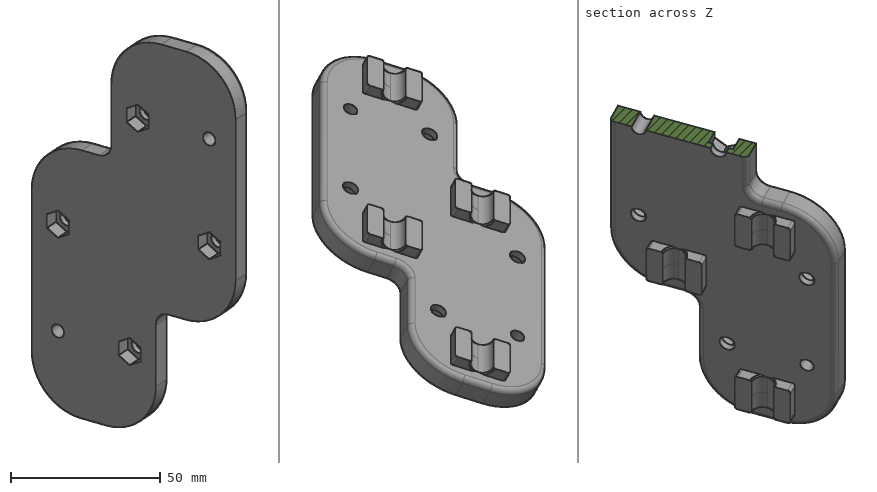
import cadquery as cq

LOBE_WIDTH = 50.0
LOBE_HEIGHT = 100.0
LOBE_OFFSET_X = 32.0
LOBE_OFFSET_Z = 48.0
LOBE_CORNER_RADIUS = 20.0
INNER_CORNER_RADIUS = 5.0
PLATE_THICKNESS = 8.0
BACK_EDGE_RADIUS = 2.0

HOLE_SPACING_X = 28.8
HOLE_SPACING_Z = 39.8
NUT_HOLE_DIAMETER = 5.5
PLAIN_HOLE_DIAMETER = 4.9
NUT_ACROSS_CORNERS = 10.15
NUT_SIDES = 6
NUT_POCKET_DEPTH = 5.5

PAD_WIDTH = 20.0
PAD_LENGTH = 15.0
PAD_HEIGHT = 4.0
PAD_CORNER_RADIUS = 1.0
PAD_END_MARGIN = 5.0
GROOVE_RADIUS = PAD_HEIGHT
GROOVE_END_CHAMFER = 0.5

PAD_CENTRE_Z = LOBE_HEIGHT / 2 - PAD_END_MARGIN - PAD_LENGTH / 2
PAD_TOP_Y = PLATE_THICKNESS + PAD_HEIGHT
LOWER_LOBE = (-LOBE_OFFSET_X / 2, -LOBE_OFFSET_Z / 2)
UPPER_LOBE = (LOBE_OFFSET_X / 2, LOBE_OFFSET_Z / 2)


def plane_at(y):
    """XZ sketch plane at the given y whose extrusions grow toward +Y.

    Its local coordinates are (-X, Z).
    """
    return cq.Workplane(cq.Plane(origin=(0, y, 0), xDir=(-1, 0, 0), normal=(0, 1, 0)))


def local(points):
    """Convert (x, z) part positions to the sketch plane's coordinates."""
    return [(-x, z) for x, z in points]


def lobe_holes(lobe, sides):
    """Positions on a lobe's hole pattern, each side given as (x sign, z sign)."""
    lobe_x, lobe_z = lobe
    return [
        (lobe_x + side_x * HOLE_SPACING_X / 2, lobe_z + side_z * HOLE_SPACING_Z / 2)
        for side_x, side_z in sides
    ]


def make_lobe(lobe):
    block = plane_at(0).pushPoints(local([lobe])).rect(LOBE_WIDTH, LOBE_HEIGHT).extrude(PLATE_THICKNESS)
    return block.edges("|Y").fillet(LOBE_CORNER_RADIUS)


def inner_corner_edges(plate):
    """The two concave edges where the outlines of the lobes cross."""
    corner_x = (LOBE_WIDTH - LOBE_OFFSET_X) / 2
    corner_z = (LOBE_HEIGHT - LOBE_OFFSET_Z) / 2
    mid_y = PLATE_THICKNESS / 2
    upper_left = cq.selectors.NearestToPointSelector((-corner_x, mid_y, corner_z))
    lower_right = cq.selectors.NearestToPointSelector((corner_x, mid_y, -corner_z))
    return plate.edges("|Y").edges(upper_left + lower_right)


def make_plate():
    plate = make_lobe(LOWER_LOBE).union(make_lobe(UPPER_LOBE)).clean()
    plate = inner_corner_edges(plate).fillet(INNER_CORNER_RADIUS)
    return plate.faces(">Y").edges().fillet(BACK_EDGE_RADIUS)


def make_groove_end_cone(x, z, side):
    """Cone that widens the groove toward the pad end on the given Z side."""
    cone = cq.Solid.makeCone(
        GROOVE_RADIUS + GROOVE_END_CHAMFER,
        GROOVE_RADIUS,
        GROOVE_END_CHAMFER,
        pnt=cq.Vector(x, PAD_TOP_Y, z + side * PAD_LENGTH / 2),
        dir=cq.Vector(0, 0, -side),
    )
    return cq.Workplane(cone)


def make_pad(x, z):
    """Rounded block with a half-round groove along Z, widened by a chamfer at both ends."""
    block = plane_at(PLATE_THICKNESS).center(-x, z).rect(PAD_WIDTH, PAD_LENGTH).extrude(PAD_HEIGHT)
    block = block.edges("|Y").fillet(PAD_CORNER_RADIUS)
    groove = (
        cq.Workplane("XY", origin=(x, PAD_TOP_Y, z))
        .circle(GROOVE_RADIUS)
        .extrude(PAD_LENGTH / 2, both=True)
    )
    block = block.cut(groove)
    for side in (-1, 1):
        block = block.cut(make_groove_end_cone(x, z, side))
    return block


def add_pads(plate):
    for lobe_x, lobe_z in (LOWER_LOBE, UPPER_LOBE):
        for side in (-1, 1):
            plate = plate.union(make_pad(lobe_x, lobe_z + side * PAD_CENTRE_Z))
    return plate


def cut_nut_holes(plate):
    """Through holes with hexagonal nut pockets in the front face, corners toward +Z and -Z."""
    corners = [(-1, 1), (1, -1)]
    centres = local(lobe_holes(LOWER_LOBE, corners) + lobe_holes(UPPER_LOBE, corners))
    holes = plane_at(0).pushPoints(centres).circle(NUT_HOLE_DIAMETER / 2).extrude(PLATE_THICKNESS)
    hexagon = cq.Sketch().regularPolygon(NUT_ACROSS_CORNERS / 2, NUT_SIDES)
    pockets = plane_at(0).pushPoints(centres).placeSketch(hexagon).extrude(NUT_POCKET_DEPTH)
    return plate.cut(holes).cut(pockets)


def cut_plain_holes(plate):
    centres = local(lobe_holes(LOWER_LOBE, [(-1, -1)]) + lobe_holes(UPPER_LOBE, [(1, 1)]))
    holes = plane_at(0).pushPoints(centres).circle(PLAIN_HOLE_DIAMETER / 2).extrude(PLATE_THICKNESS)
    return plate.cut(holes)


result = cut_plain_holes(cut_nut_holes(add_pads(make_plate())))